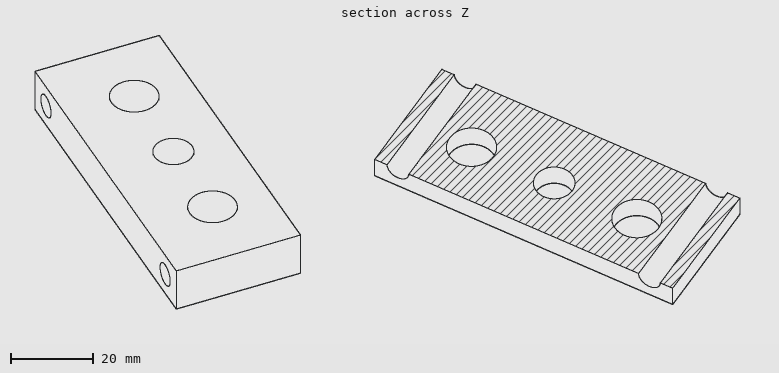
import cadquery as cq

length = 83.0
width = 33.0
height = 12.0

row_offset = 1.5
center_hole_diameter = 10.0
outer_hole_diameter = 12.0
outer_hole_spacing = 46.0

cross_hole_diameter = 6.0
cross_hole_spacing = 70.0


def hole_pair(spacing):
    """Two points placed symmetrically about the middle of the length."""
    return [(-spacing / 2, 0), (spacing / 2, 0)]


block = cq.Workplane("XY").box(length, width, height)

hole_row = block.faces(">Z").workplane(origin=(0, row_offset, 0))
drilled = hole_row.hole(center_hole_diameter)
hole_row = drilled.faces(">Z").workplane(origin=(0, row_offset, 0))
drilled = hole_row.pushPoints(hole_pair(outer_hole_spacing)).hole(outer_hole_diameter)

front_face = drilled.faces("<Y").workplane(origin=(0, 0, 0))
result = front_face.pushPoints(hole_pair(cross_hole_spacing)).hole(cross_hole_diameter)